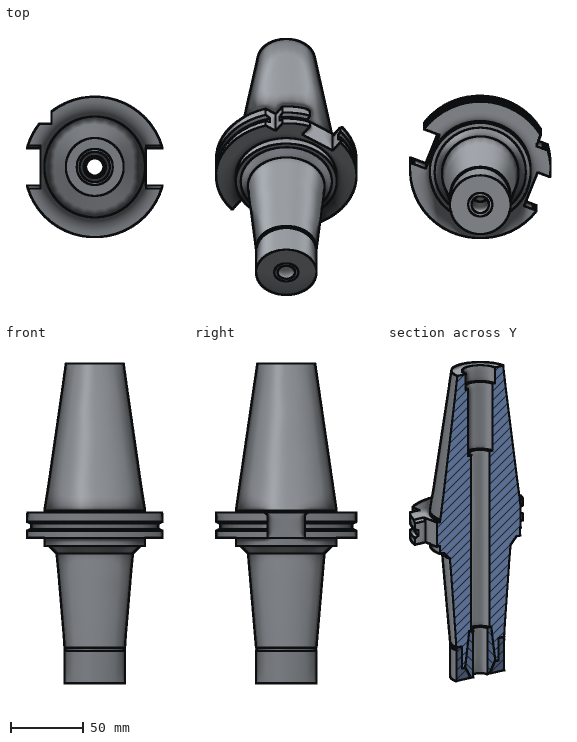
import cadquery as cq
import math


gauge_radius = 69.85 / 2
shank_length = 101.75
taper_ratio = 7 / 24
shank_end_radius = gauge_radius - shank_length * taper_ratio / 2

flange_radius = 97.5 / 2
flange_top = -1.5
flange_bottom = -19.1
groove_center = -11.1
groove_floor_radius = 45.85
groove_mouth_width = 6.4
groove_floor_width = 3.6

slot_width = 25.7
slot_chamfer = 2.0
slot_floor_minus_x = 37.7
slot_floor_plus_x = 35.4
notch_offset = 30.0

collar_radius = 35.0
collar_bottom = -24.8
neck_transition_height = 5.0
neck_top_radius = 26.6
neck_top = collar_bottom - neck_transition_height
neck_bottom_radius = 21.0
neck_bottom = -95.8
neck_chamfer = 0.6

nose_radius = 16.0
nose_bottom = -112.0

pilot_radius = 12.5
pilot_depth = 11.5
thread_radius = 10.5
thread_depth = 60.0
passage_radius = 7.7

tool_bore_radius = 6.0
collet_rear_chamfer = 0.4
collet_length = 34.0
collet_large_radius = 13.0
collet_seat_angle = 8.0
collet_front_angle = 30.0

nut_radius = 21.0
nut_bottom = -120.0
nut_chamfer_radial = 0.6
nut_chamfer_height = 1.6

collet_rear = nut_bottom + collet_length
seat_length = collet_rear - nose_bottom
lip_height = nose_bottom - nut_bottom
collet_rear_radius = collet_large_radius - seat_length * math.tan(math.radians(collet_seat_angle))
collet_front_radius = collet_large_radius - lip_height * math.tan(math.radians(collet_front_angle))


def revolve_profile(points):
    """Revolve a closed (radius, z) outline a full turn about the Z axis."""
    return cq.Workplane("YZ").polyline(points).close().revolve(360, (0, 0, 0), (0, 1, 0))


def make_drive_slot(direction, floor_distance):
    """Cutter for one drive slot, open outward along X, with chamfered upper edges."""
    half_width = slot_width / 2
    outline = [
        (-half_width, flange_bottom),
        (half_width, flange_bottom),
        (half_width, flange_top - slot_chamfer),
        (half_width + slot_chamfer, flange_top),
        (-half_width - slot_chamfer, flange_top),
        (-half_width, flange_top - slot_chamfer),
    ]
    return (
        cq.Workplane("YZ", origin=(direction * floor_distance, 0, 0))
        .polyline(outline)
        .close()
        .extrude(direction * flange_radius)
    )


def make_notch():
    """Cutter for the square notch at the -X, +Y edge of the flange."""
    block = cq.Workplane("XY").box(flange_radius, flange_radius, flange_top - flange_bottom, centered=False)
    return block.translate((-notch_offset - flange_radius, notch_offset, flange_bottom))


def make_holder():
    """Shank, flange, collar, neck and nose, with the through bore and collet seat."""
    body = revolve_profile([
        (0, shank_length),
        (shank_end_radius, shank_length),
        (gauge_radius, 0),
        (collar_radius, 0),
        (collar_radius, flange_top),
        (flange_radius, flange_top),
        (flange_radius, groove_center + groove_mouth_width / 2),
        (groove_floor_radius, groove_center + groove_floor_width / 2),
        (groove_floor_radius, groove_center - groove_floor_width / 2),
        (flange_radius, groove_center - groove_mouth_width / 2),
        (flange_radius, flange_bottom),
        (collar_radius, flange_bottom),
        (collar_radius, collar_bottom),
        (neck_top_radius + neck_transition_height, collar_bottom),
        (neck_top_radius, neck_top),
        (neck_bottom_radius, neck_bottom + neck_chamfer),
        (neck_bottom_radius - neck_chamfer, neck_bottom),
        (nose_radius, neck_bottom),
        (nose_radius, nose_bottom),
        (0, nose_bottom),
    ])
    bore = revolve_profile([
        (0, shank_length),
        (pilot_radius, shank_length),
        (pilot_radius, shank_length - pilot_depth),
        (thread_radius, shank_length - pilot_depth),
        (thread_radius, shank_length - thread_depth),
        (passage_radius, shank_length - thread_depth),
        (passage_radius, collet_rear),
        (collet_rear_radius, collet_rear),
        (collet_large_radius, nose_bottom),
        (0, nose_bottom),
    ])
    body = body.cut(bore)
    body = body.cut(make_drive_slot(-1, slot_floor_minus_x))
    body = body.cut(make_drive_slot(1, slot_floor_plus_x))
    return body.cut(make_notch())


def make_collet():
    """Double-cone collet with a through bore, flush with the front of the nut."""
    return revolve_profile([
        (tool_bore_radius + collet_rear_chamfer, collet_rear),
        (collet_rear_radius, collet_rear),
        (collet_large_radius, nose_bottom),
        (collet_front_radius, nut_bottom),
        (tool_bore_radius, nut_bottom),
        (tool_bore_radius, collet_rear - collet_rear_chamfer),
    ])


def make_nut():
    """Clamping nut around the nose, with a conical front lip that holds the collet."""
    return revolve_profile([
        (nose_radius, neck_bottom),
        (nut_radius - nut_chamfer_radial, neck_bottom),
        (nut_radius, neck_bottom - nut_chamfer_height),
        (nut_radius, nut_bottom),
        (collet_front_radius, nut_bottom),
        (collet_large_radius, nose_bottom),
        (nose_radius, nose_bottom),
    ])


holder = make_holder()
collet = make_collet()
nut = make_nut()

result = cq.Compound.makeCompound([holder.val(), collet.val(), nut.val()])